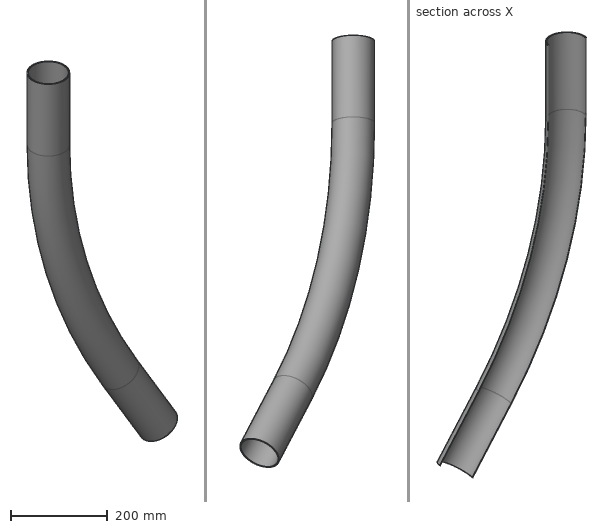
import cadquery as cq
import math

overall_height = 964.0
outer_diameter = 89.0
inner_diameter = 83.0
straight_length = 177.0
bend_angle = math.radians(30)

tilted_end_drop = outer_diameter / 2 * math.sin(bend_angle)
straight_height = straight_length * (1 + math.cos(bend_angle))
bend_height = overall_height - straight_height - tilted_end_drop
bend_radius = bend_height / math.sin(bend_angle)


def bend_point(angle):
    """Point (Y, Z) on the centreline bend, at an angle from its upper end."""
    y = bend_radius * (1 - math.cos(angle))
    z = overall_height - straight_length - bend_radius * math.sin(angle)
    return y, z


bend_end_y, bend_end_z = bend_point(bend_angle)
lower_end = (
    bend_end_y + straight_length * math.sin(bend_angle),
    bend_end_z - straight_length * math.cos(bend_angle),
)
centreline = (
    cq.Workplane("YZ")
    .moveTo(0, overall_height)
    .lineTo(*bend_point(0))
    .threePointArc(bend_point(bend_angle / 2), bend_point(bend_angle))
    .lineTo(*lower_end)
)

result = (
    cq.Workplane("XY", origin=(0, 0, overall_height))
    .circle(outer_diameter / 2)
    .circle(inner_diameter / 2)
    .sweep(centreline)
)